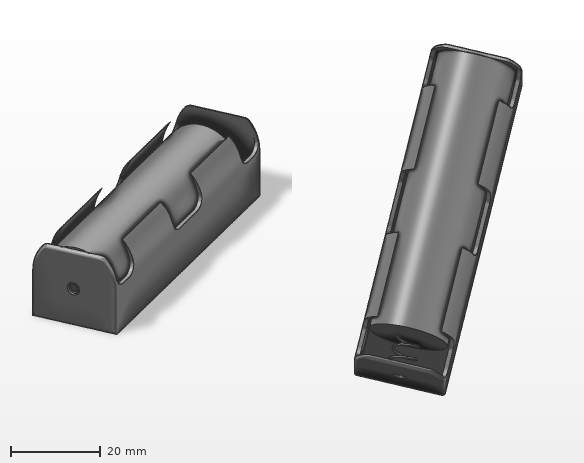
import cadquery as cq
import math

WIDTH = 21.0
LENGTH = 75.0
HEIGHT = 19.0
WALL = 1.0
SHOULDER_Z = 11.5
END_ROUND = 1.0
TOP_CORNER_ROUND = 2.0

TAB_LENGTH = 20.0
TAB_GAP = 15.0
WINDOW_ROUND = 3.0

HOLE_DIAMETER = 3.0
STRAIGHT_DEPTH = 0.75
NARROW_DIAMETER = 2.5
HOLE_Z = HEIGHT / 2

CELL_DIAMETER = 18.0
CELL_LENGTH = 65.0
CELL_Z = WIDTH / 2

SPRING_Z = 10.0
SPRING_PITCH = 3.0
SPRING_WALL_RADIUS = 3.25
SPRING_CELL_RADIUS = 2.5
WIRE_DIAMETER = 0.5

half_width = WIDTH / 2
half_length = LENGTH / 2
inner_half_width = half_width - WALL
inner_half_length = half_length - WALL
shoulder_height = HEIGHT - SHOULDER_Z
top_half_width = math.sqrt(half_width**2 - shoulder_height**2)
cell_end_y = -inner_half_length + CELL_LENGTH
spring_length = inner_half_length - cell_end_y


def tangent_arc_radius(side_x):
    """Radius of the arc that leaves an upright side at the shoulder and ends on the top edge."""
    inset = side_x - top_half_width
    return (inset**2 + shoulder_height**2) / (2 * inset)


def arched_prism(side_x, bottom_z, length):
    """Prism along Y, centred on the origin: upright sides, arcs above the shoulder, flat top."""
    radius = tangent_arc_radius(side_x)
    half_angle = math.asin(shoulder_height / radius) / 2
    middle_x = side_x - radius * (1 - math.cos(half_angle))
    middle_z = SHOULDER_Z + radius * math.sin(half_angle)
    return (
        cq.Workplane("XZ")
        .moveTo(-side_x, bottom_z)
        .lineTo(side_x, bottom_z)
        .lineTo(side_x, SHOULDER_Z)
        .threePointArc((middle_x, middle_z), (top_half_width, HEIGHT))
        .lineTo(-top_half_width, HEIGHT)
        .threePointArc((-middle_x, middle_z), (-side_x, SHOULDER_Z))
        .close()
        .extrude(length / 2, both=True)
    )


def window(start_y, end_y):
    """Cutter through both sides above the shoulder, with rounded lower corners."""
    cutter_height = 2 * shoulder_height
    return (
        cq.Workplane("XY")
        .box(2 * WIDTH, end_y - start_y, cutter_height)
        .translate((0, (start_y + end_y) / 2, SHOULDER_Z + cutter_height / 2))
        .edges("|X and <Z")
        .fillet(WINDOW_ROUND)
    )


def wire_holes():
    """Cutter for the holes through both end walls; the -Y hole narrows towards the cell."""
    hole_radius = HOLE_DIAMETER / 2
    narrow_radius = NARROW_DIAMETER / 2
    return (
        cq.Workplane("XY")
        .moveTo(0, -half_length)
        .lineTo(hole_radius, -half_length)
        .lineTo(hole_radius, -half_length + STRAIGHT_DEPTH)
        .lineTo(narrow_radius, -inner_half_length)
        .lineTo(hole_radius, -inner_half_length)
        .lineTo(hole_radius, half_length)
        .lineTo(0, half_length)
        .close()
        .revolve(360, (0, 0, 0), (0, 1, 0))
        .translate((0, 0, HOLE_Z))
    )


def make_housing():
    ends = arched_prism(half_width, 0, LENGTH)
    ends = ends.edges("|Y and >Z").fillet(TOP_CORNER_ROUND)
    ends = ends.faces("<Y or >Y").edges().fillet(END_ROUND)
    body = ends.union(arched_prism(half_width, 0, 2 * inner_half_length))
    body = body.cut(arched_prism(inner_half_width, WALL, 2 * inner_half_length))
    tab_start = TAB_GAP / 2
    tab_end = tab_start + TAB_LENGTH
    body = body.cut(window(-inner_half_length, -tab_end))
    body = body.cut(window(-tab_start, tab_start))
    body = body.cut(window(tab_end, inner_half_length))
    return body.cut(wire_holes())


def make_cell():
    return (
        cq.Workplane("XZ", origin=(0, cell_end_y, CELL_Z))
        .circle(CELL_DIAMETER / 2)
        .extrude(CELL_LENGTH)
    )


def make_spring():
    """Wire swept along a tapering helix and trimmed flat where it meets the wall and the cell."""
    overrun = WIRE_DIAMETER / 2
    coil_length = spring_length + 2 * overrun
    taper = math.degrees(math.atan((SPRING_WALL_RADIUS - SPRING_CELL_RADIUS) / coil_length))
    path = cq.Wire.makeHelix(SPRING_PITCH, coil_length, SPRING_WALL_RADIUS, angle=-taper)
    coil = (
        cq.Workplane("XZ", origin=(SPRING_WALL_RADIUS, 0, 0))
        .circle(WIRE_DIAMETER / 2)
        .sweep(cq.Workplane(path), isFrenet=True)
    )
    space = cq.Workplane("XY").box(WIDTH, WIDTH, spring_length, centered=(True, True, False))
    return (
        coil.translate((0, 0, -overrun))
        .intersect(space)
        .rotate((0, 0, 0), (1, 0, 0), 90)
        .rotate((0, 0, 0), (0, 1, 0), -90)
        .translate((0, inner_half_length, SPRING_Z))
    )


housing = make_housing()
cell = make_cell()
spring = make_spring()

result = cq.Compound.makeCompound([
    housing.solids().val(),
    cell.solids().val(),
    spring.solids().val(),
])